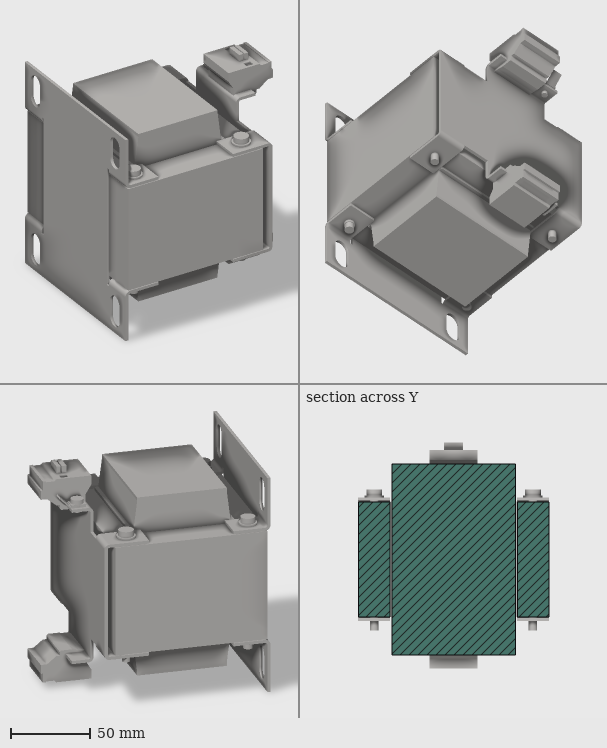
import cadquery as cq
import math


width = 120.0
sheet = 2.0
flange_top = 39.0
flange_bottom = flange_top - sheet

limb = 20.0
core_depth = 100.0
core_half_height = 36.5
core_front = sheet
core_back = core_front + core_depth
window_width = width - 2 * limb
window_front = core_front + limb
window_back = core_back - limb

coil_width = 78.0
coil_top = 60.3
coil_cap_height = 2.0
coil_cap_inset = 0.6
coil_taper = 2.5
bobbin_overhang = 4.5
bobbin_top = core_half_height + sheet

plate_height = 144.8
plate_bend_radius = 4.0
plate_tab_end = 24.4
tab_width = 19.9
relief_width = 2.5
relief_half_height = 42.0
slot_x = 47.3
slot_z = 57.0
slot_length = 22.0
slot_width = 11.0

bracket_back = 109.0
bracket_front = bracket_back - sheet
bracket_bend_radius = 3.0
bracket_tab_end = 79.9
shelf_top = 52.3
shelf_end = 121.2
shelf_left = -28.0
shelf_right = 20.3

bolt_x = width / 2 - limb / 2
front_bolt_y = core_front + limb / 2
back_bolt_y = core_back - limb / 2
bolt_top = 44.1
bolt_bottom = -45.0
washer_top = 40.3
back_head_diameter = 10.0
back_washer_diameter = 12.4
back_shank_diameter = 5.3
front_head_diameter = 9.5
front_washer_diameter = 11.8
front_shank_diameter = 6.0
nut_bottom = -40.7
nut_diameter = 7.0

block_width = 30.0
block_top = 68.8
block_front = 104.5
block_foot_front = 108.2
block_back = 137.7
block_profile = [
    (block_front, block_top),
    (127.6, block_top),
    (128.8, 67.5),
    (134.3, 67.5),
    (134.3, 68.0),
    (136.4, 68.0),
    (136.4, 61.9),
    (block_back, 61.9),
    (block_back, 55.9),
    (133.6, 55.9),
    (127.6, 51.1),
    (125.1, 51.1),
    (125.1, 48.6),
    (124.4, 47.6),
    (117.1, 47.6),
    (112.4, 48.6),
    (block_foot_front, 48.9),
    (block_foot_front, 56.6),
    (block_front, 62.5),
]
ridge_width = 11.8
overall_height = 146
ridge_top = overall_height - plate_height / 2
ridge_spans = [(118.1, 121.2), (122.0, 124.7)]
pocket_x = 11.1
pocket_y = 121.6
pocket_length = 5.0
pocket_width = 4.1
pocket_depth = 1.5

earth_x = -21.8
earth_y = 115.9
earth_head_diameter = 8.3
earth_head_top = 57.2
earth_washer_length = 10.0
earth_washer_top = 54.3
earth_shank_diameter = 4.1
earth_shank_bottom = 48.0
tag_width = 8.2
tag_front = 111.3
tag_bend_y = 121.6
tag_stack = 1.5
spade_thickness = 0.9
spade_width = 6.5
spade_length = 8.8
spade_angle = 45


def box(x_span, y_span, z_span):
    """Box between the given (low, high) limits."""
    lengths = [high - low for low, high in (x_span, y_span, z_span)]
    return cq.Workplane("XY").box(*lengths, centered=False).translate((x_span[0], y_span[0], z_span[0]))


def centered(size):
    return (-size / 2, size / 2)


def cylinder(x, y, diameter, bottom, top):
    return cq.Workplane("XY", origin=(x, y, bottom)).circle(diameter / 2).extrude(top - bottom)


def extrude_yz(outline, x_span):
    """Extrude a closed YZ outline between two x limits."""
    return outline.extrude(x_span[1] - x_span[0]).translate((x_span[0], 0, 0))


def mirror_z(body):
    return body.mirror("XY")


def bent_strip(corner, flat_end, upright_end, radius, x_span):
    """L-shaped strip: a horizontal leg and an upright leg joined by a bend.

    corner is the (y, z) point where the two outer faces would meet without the bend.
    """
    y, z = corner
    to_flat = math.copysign(1, flat_end - y)
    to_upright = math.copysign(1, upright_end - z)
    center_y = y + to_flat * radius
    center_z = z + to_upright * radius
    inner = radius - sheet
    diagonal = math.sqrt(0.5)
    outline = (
        cq.Workplane("YZ")
        .moveTo(flat_end, z)
        .lineTo(center_y, z)
        .threePointArc(
            (center_y - to_flat * radius * diagonal, center_z - to_upright * radius * diagonal),
            (y, center_z),
        )
        .lineTo(y, upright_end)
        .lineTo(y + to_flat * sheet, upright_end)
        .lineTo(y + to_flat * sheet, center_z)
        .threePointArc(
            (center_y - to_flat * inner * diagonal, center_z - to_upright * inner * diagonal),
            (center_y, z + to_upright * sheet),
        )
        .lineTo(flat_end, z + to_upright * sheet)
        .close()
    )
    return extrude_yz(outline, x_span)


def side_spans():
    """x limits of the left and right bracket tabs."""
    inner = width / 2 - tab_width
    return [(-width / 2, -inner), (inner, width / 2)]


def make_core():
    core = box(centered(width), (core_front, core_back), centered(2 * core_half_height))
    window = box(centered(window_width), (window_front, window_back), centered(2 * core_half_height))
    return core.cut(window)


def make_coil():
    inside = box(centered(coil_width), (window_front, window_back), centered(2 * bobbin_top))
    cap_front = window_front + coil_cap_inset
    cap_back = window_back - coil_cap_inset
    cap_bottom = coil_top - coil_cap_height
    outline = (
        cq.Workplane("YZ")
        .moveTo(window_front - bobbin_overhang, core_half_height)
        .lineTo(window_front - bobbin_overhang, bobbin_top)
        .lineTo(cap_front - coil_taper, bobbin_top)
        .lineTo(cap_front, cap_bottom)
        .lineTo(cap_front, coil_top)
        .lineTo(cap_back, coil_top)
        .lineTo(cap_back, cap_bottom)
        .lineTo(cap_back + coil_taper, bobbin_top)
        .lineTo(window_back + bobbin_overhang, bobbin_top)
        .lineTo(window_back + bobbin_overhang, core_half_height)
        .close()
    )
    end_turns = extrude_yz(outline, centered(coil_width))
    return inside.union(end_turns).union(mirror_z(end_turns))


def make_mounting_plate():
    plate = box(centered(width), (0, sheet), centered(plate_height))
    bend_start = flange_bottom + plate_bend_radius
    for low, high in side_spans():
        plate = plate.cut(box((low, high), (0, sheet), centered(2 * bend_start)))
    inner = width / 2 - tab_width
    for low, high in ((-inner, relief_width - inner), (inner - relief_width, inner)):
        plate = plate.cut(box((low, high), (0, sheet), centered(2 * relief_half_height)))
    slots = (
        cq.Workplane("XZ")
        .rect(2 * slot_x, 2 * slot_z, forConstruction=True)
        .vertices()
        .slot2D(slot_length, slot_width, 90)
        .extrude(-sheet)
    )
    plate = plate.cut(slots)
    for span in side_spans():
        tab = bent_strip((0, flange_bottom), plate_tab_end, relief_half_height, plate_bend_radius, span)
        plate = plate.union(tab).union(mirror_z(tab))
    return plate


def make_rear_bracket():
    bend_start = flange_top - bracket_bend_radius
    bracket = box(centered(width), (bracket_front, bracket_back), centered(2 * bend_start))
    shelf = bent_strip(
        (bracket_front, shelf_top), shelf_end, 0, bracket_bend_radius, (shelf_left, shelf_right)
    )
    bracket = bracket.union(shelf).union(mirror_z(shelf))
    for span in side_spans():
        tab = bent_strip((bracket_back, flange_top), bracket_tab_end, 0, bracket_bend_radius, span)
        bracket = bracket.union(tab).union(mirror_z(tab))
    return bracket


def make_bolt(x, y, head_diameter, washer_diameter, shank_diameter):
    bolt = cylinder(x, y, shank_diameter, bolt_bottom, bolt_top)
    bolt = bolt.union(cylinder(x, y, washer_diameter, flange_bottom, washer_top))
    return bolt.union(cylinder(x, y, head_diameter, flange_bottom, bolt_top))


def make_bolts():
    """Two rear and two front bolts; the front ones carry a nut under the lower tabs."""
    bolts = cq.Workplane("XY")
    for x in (-bolt_x, bolt_x):
        back_bolt = make_bolt(x, back_bolt_y, back_head_diameter, back_washer_diameter, back_shank_diameter)
        front_bolt = make_bolt(
            x, front_bolt_y, front_head_diameter, front_washer_diameter, front_shank_diameter
        )
        nut = cylinder(x, front_bolt_y, nut_diameter, nut_bottom, -flange_bottom)
        bolts = bolts.union(back_bolt).union(front_bolt).union(nut)
    return bolts


def make_terminal_block():
    """Upper terminal block body, its foot clamped around the bracket shelf."""
    outline = cq.Workplane("YZ").polyline(block_profile).close()
    return extrude_yz(outline, centered(block_width))


def add_block_top(block):
    """Marker ridges and the two shallow pockets of the upper block."""
    for span in ridge_spans:
        block = block.union(box(centered(ridge_width), span, (block_top, ridge_top)))
    for x in (-pocket_x, pocket_x):
        pocket = cq.Workplane("XY", origin=(x, pocket_y, block_top)).rect(pocket_width, pocket_length)
        block = block.cut(pocket.extrude(-pocket_depth))
    return block


def make_earth_terminal():
    screw = cylinder(earth_x, earth_y, earth_shank_diameter, earth_shank_bottom, earth_head_top)
    screw = screw.union(cylinder(earth_x, earth_y, earth_head_diameter, shelf_top, earth_head_top))
    tag_x = (earth_x - tag_width / 2, earth_x + tag_width / 2)
    tag_top = shelf_top + tag_stack
    washer_y = (earth_y - earth_washer_length / 2, earth_y + earth_washer_length / 2)
    washer = box(tag_x, washer_y, (tag_top, earth_washer_top))
    tag = box(tag_x, (tag_front, tag_bend_y), (shelf_top, tag_top))
    spade_x = (earth_x - spade_width / 2, earth_x + spade_width / 2)
    spade_y = (tag_bend_y - spade_thickness, tag_bend_y + spade_length)
    spade = box(spade_x, spade_y, (tag_top - spade_thickness, tag_top))
    spade = spade.rotate((0, tag_bend_y, tag_top), (1, tag_bend_y, tag_top), spade_angle)
    return screw.union(washer).union(tag).union(spade)


block = make_terminal_block()
result = (
    make_core()
    .union(make_coil())
    .union(make_mounting_plate())
    .union(make_rear_bracket())
    .union(make_bolts())
    .union(add_block_top(block))
    .union(mirror_z(block))
    .union(make_earth_terminal())
)